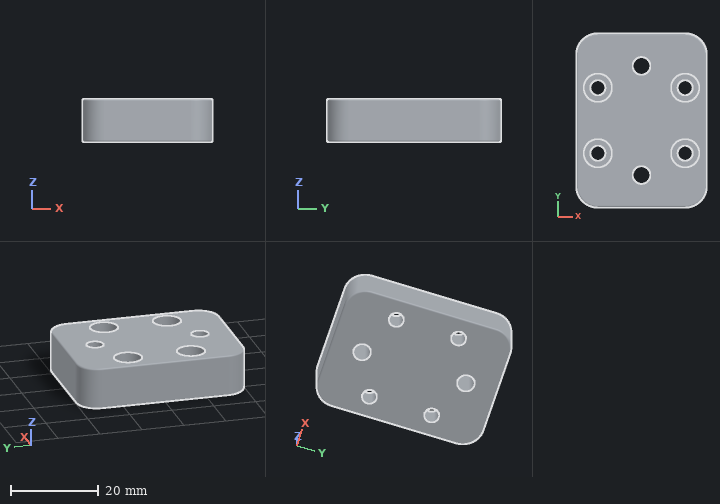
import cadquery as cq

width = 30.0
length = 40.0
height = 10.0
corner_radius = 5.0
edge_fillet = 0.5

screw_diameter = 3.4
head_diameter = 6.5
head_depth = 3.4
screw_spacing_x = 20.0
screw_spacing_y = 15.0

pin_diameter = 4.0
pin_spacing = 25.0

block = (
    cq.Workplane("XY")
    .box(width, length, height)
    .edges("|Z")
    .fillet(corner_radius)
    .faces("<Z or >Z")
    .edges()
    .fillet(edge_fillet)
)

with_screw_holes = (
    block.faces(">Z")
    .workplane(origin=(0, 0, 0))
    .rarray(screw_spacing_x, screw_spacing_y, 2, 2)
    .cboreHole(screw_diameter, head_diameter, head_depth)
)

result = (
    with_screw_holes.faces(">Z")
    .workplane(origin=(0, 0, 0))
    .rarray(0.4, pin_spacing, 1, 2)
    .hole(pin_diameter)
)